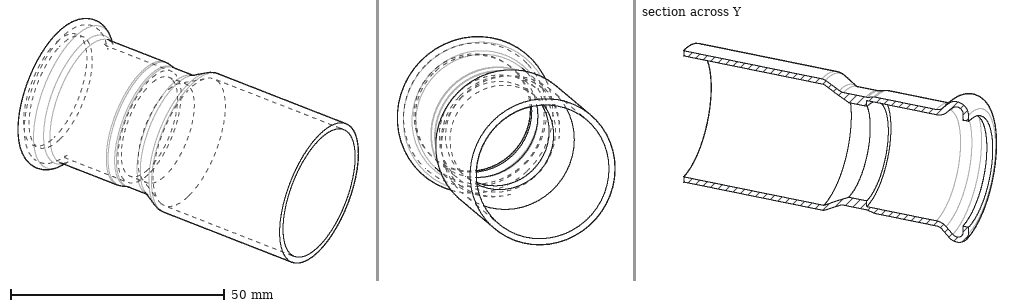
import cadquery as cq
import math


length = 73.0
bead_outer_radius = 37.4 / 2
body_radius = 31.0 / 2
neck_radius = 30.0 / 2
spigot_radius = 35.0 / 2
socket_radius = 28.0 / 2
throat_radius = 25.0 / 2

bead_tube_radius = 3.0
bead_center_x = bead_tube_radius
bead_center_radius = bead_outer_radius - bead_tube_radius
flare_angle = math.radians(45)
flare_round = 2.0

body_end = 24.0
neck_start = 26.05
neck_end = 32.55
spigot_start = 37.1
step_round = 1.8
neck_end_round = 2.2
spigot_round = 1.8

wall = body_radius - socket_radius
spigot_bore_radius = spigot_radius - wall
spigot_slope = (spigot_radius - neck_radius) / (spigot_start - neck_end)
throat_end = spigot_start - (spigot_bore_radius - throat_radius) / spigot_slope


def bead_point(angle, tube_radius):
    """Point on the bead circle, with the angle measured from +X towards the outside."""
    x = bead_center_x + tube_radius * math.cos(angle)
    radius = bead_center_radius + tube_radius * math.sin(angle)
    return (x, radius)


def flare_corner(tube_radius, tube_wall_radius):
    """Point where the flare tangent to the bead circle meets a straight wall."""
    tangent_x, tangent_radius = bead_point(math.pi / 2 - flare_angle, tube_radius)
    run = (tangent_radius - tube_wall_radius) / math.tan(flare_angle)
    return (tangent_x + run, tube_wall_radius)


def add_bead_arc(path, tube_radius):
    """Arc from the front of the bead over its crest to the flare."""
    crest = bead_point(math.pi / 2, tube_radius)
    return path.threePointArc(crest, bead_point(math.pi / 2 - flare_angle, tube_radius))


def add_rounded_corner(path, before, corner, after, radius):
    """Line towards a corner, then an arc tangent to both of its sides."""
    corner_vector = cq.Vector(*corner)
    towards_before = (cq.Vector(*before) - corner_vector).normalized()
    towards_after = (cq.Vector(*after) - corner_vector).normalized()
    half_angle = towards_before.getAngle(towards_after) / 2
    setback = radius / math.tan(half_angle)
    middle_distance = radius / math.sin(half_angle) - radius
    bisector = (towards_before + towards_after).normalized()
    arc_start = corner_vector + towards_before * setback
    arc_middle = corner_vector + bisector * middle_distance
    arc_end = corner_vector + towards_after * setback
    path = path.lineTo(arc_start.x, arc_start.y)
    return path.threePointArc((arc_middle.x, arc_middle.y), (arc_end.x, arc_end.y))


def revolve_about_x(path):
    return path.close().revolve(360, (0, 0, 0), (1, 0, 0))


def make_outside():
    flare_start = bead_point(math.pi / 2 - flare_angle, bead_tube_radius)
    corners = [
        (flare_corner(bead_tube_radius, body_radius), flare_round),
        ((body_end, body_radius), step_round),
        ((neck_start, neck_radius), step_round),
        ((neck_end, neck_radius), neck_end_round),
        ((spigot_start, spigot_radius), spigot_round),
    ]
    spigot_tip = (length, spigot_radius)
    points = [flare_start] + [corner for corner, _ in corners] + [spigot_tip]

    path = cq.Workplane("XY").lineTo(0, bead_center_radius)
    path = add_bead_arc(path, bead_tube_radius)
    for index, (corner, radius) in enumerate(corners):
        path = add_rounded_corner(path, points[index], corner, points[index + 2], radius)
    path = path.lineTo(*spigot_tip).lineTo(length, 0)
    return revolve_about_x(path)


def make_bore():
    groove_tube_radius = bead_tube_radius - wall
    groove_start = bead_center_x - groove_tube_radius
    flare_start = bead_point(math.pi / 2 - flare_angle, groove_tube_radius)
    socket_end = (neck_start, socket_radius)

    path = cq.Workplane("XY").lineTo(0, socket_radius).lineTo(groove_start, socket_radius)
    path = path.lineTo(groove_start, bead_center_radius)
    path = add_bead_arc(path, groove_tube_radius)
    path = add_rounded_corner(
        path,
        flare_start,
        flare_corner(groove_tube_radius, socket_radius),
        socket_end,
        flare_round + wall,
    )
    path = path.lineTo(*socket_end)

    path = path.lineTo(neck_start, throat_radius).lineTo(throat_end, throat_radius)
    path = path.lineTo(spigot_start, spigot_bore_radius)
    path = path.lineTo(length, spigot_bore_radius).lineTo(length, 0)
    return revolve_about_x(path)


result = make_outside().cut(make_bore())